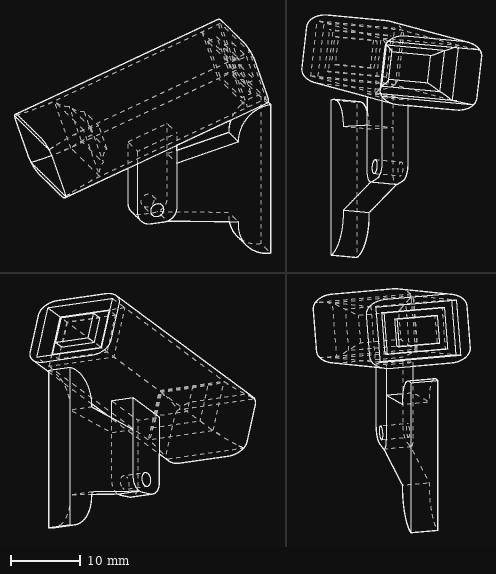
import cadquery as cq
import math

BRACKET_WIDTH = 4.0

TILT = math.degrees(math.atan2(1, 3))
TUBE_WIDTH = 15.0
TUBE_HEIGHT = TUBE_WIDTH * 2 / 3
TUBE_LENGTH = TUBE_WIDTH * 2.2
CORNER_ACROSS = TUBE_WIDTH / 5
CORNER_HIGH = TUBE_HEIGHT / 5
MOUTH_Y = -12.7
MOUTH_Z = 14.4
AXIS_HEIGHT = TUBE_HEIGHT / 2

STEP_ACROSS = TUBE_WIDTH / 10
STEP_HIGH = TUBE_HEIGHT / 10
STEP_DEPTH = STEP_ACROSS

HOOD_DEPTH = TUBE_WIDTH * 0.4
FLARE_MID_SHARE = 0.7
FLARE_END_SHARE = 0.995
DISH_BULGE = 0.12

ARM_DEPTH = 6.05
ARM_BOTTOM = 7.1
ARM_CORNER = 2.0
ARM_BLANK_HEIGHT = 18.2
PIN_DIAMETER = 2.0
PIN_HEIGHT = 2.0

BASE_BACK = 20.5
BASE_HEIGHT = 23.05
BASE_ROUND = 5.0
NECK_TOP_BACK = 17.95
NECK_TOP_FRONT = 15.95
NECK_BOTTOM_BACK = 5.53
NECK_TIP_Y = 4.6
NECK_TIP_Z = 7.15


def place(shape):
    """Move a shape from the housing frame to its tilted place."""
    return shape.rotate((0, 0, 0), (1, 0, 0), TILT).translate((0, MOUTH_Y, MOUTH_Z))


def section(depth, inset, sharpness):
    """Rectangle with elliptical corners across the tube, inset by a number of steps.

    A sharpness of 0 keeps the tube's full corners, 1 would make them sharp.
    """
    across = CORNER_ACROSS * (1 - sharpness)
    high = CORNER_HIGH * (1 - sharpness)
    half_width = TUBE_WIDTH / 2 - inset * STEP_ACROSS
    half_height = TUBE_HEIGHT / 2 - inset * STEP_HIGH
    flat_x = half_width - across
    flat_z = half_height - high

    def point(x, z):
        return cq.Vector(x, depth, AXIS_HEIGHT + z)

    def corner(start, side_x, side_z):
        return cq.Edge.makeEllipse(
            across, high, pnt=point(side_x * flat_x, side_z * flat_z),
            dir=cq.Vector(0, -1, 0), xdir=cq.Vector(1, 0, 0),
            angle1=start, angle2=start + 90)

    def line(start, end):
        return cq.Edge.makeLine(point(*start), point(*end))

    return cq.Wire.assembleEdges([
        corner(0, 1, 1),
        line((flat_x, half_height), (-flat_x, half_height)),
        corner(90, -1, 1),
        line((-half_width, flat_z), (-half_width, -flat_z)),
        corner(180, -1, -1),
        line((-flat_x, -half_height), (flat_x, -half_height)),
        corner(270, 1, -1),
        line((half_width, -flat_z), (half_width, flat_z)),
    ])


def block(inset, start, end, width=None):
    """Box between two depths, inset by a number of steps unless a width is given."""
    if width is None:
        width = TUBE_WIDTH - 2 * inset * STEP_ACROSS
    height = TUBE_HEIGHT - 2 * inset * STEP_HIGH
    return cq.Workplane("XY").box(width, end - start, height).translate((0, (start + end) / 2, AXIS_HEIGHT))


def make_hood_cavity():
    """Flare with bowed side walls between a flat floor and a flat roof."""
    flare = cq.Solid.makeLoft([
        section(0, 0, 0),
        section(HOOD_DEPTH / 2, FLARE_MID_SHARE, FLARE_MID_SHARE),
        section(HOOD_DEPTH, 1, FLARE_END_SHARE),
    ])
    slab = block(1, 0, HOOD_DEPTH, width=2 * TUBE_WIDTH)
    return cq.Workplane(flare).intersect(slab)


def make_tube():
    outer = cq.Solid.extrudeLinear(section(0, 0, 0), [], cq.Vector(0, TUBE_LENGTH, 0))
    bore = block(1, HOOD_DEPTH, TUBE_LENGTH)
    return place(cq.Workplane(outer).cut(make_hood_cavity()).cut(bore))


def dish_prism(plane, half_size, step):
    """Prism whose outline narrows by two bowed steps, symmetric about the tube axis."""
    depths = [HOOD_DEPTH + i * STEP_DEPTH for i in range(3)]
    halves = [half_size - (i + 1) * step for i in range(3)]

    def bow(i, side):
        x = halves[i] - step * (0.5 + DISH_BULGE)
        return side * x, depths[i] + STEP_DEPTH * (0.5 - DISH_BULGE)

    return (
        cq.Workplane(plane)
        .moveTo(halves[0], depths[0])
        .threePointArc(bow(0, 1), (halves[1], depths[1]))
        .threePointArc(bow(1, 1), (halves[2], depths[2]))
        .lineTo(-halves[2], depths[2])
        .threePointArc(bow(1, -1), (-halves[1], depths[1]))
        .threePointArc(bow(0, -1), (-halves[0], depths[0]))
        .close()
        .extrude(TUBE_WIDTH, both=True)
    )


def make_insert():
    """Camera block filling the bore, dished at the front and stepped at the rear."""
    body = block(1, HOOD_DEPTH, TUBE_LENGTH - 2 * STEP_DEPTH)
    for inset in (2, 3):
        end = TUBE_LENGTH - (3 - inset) * STEP_DEPTH
        body = body.union(block(inset, HOOD_DEPTH + 2 * STEP_DEPTH, end))
    upright_plane = cq.Plane(origin=(0, 0, AXIS_HEIGHT), xDir=(0, 0, 1), normal=(-1, 0, 0))
    across = dish_prism("XY", TUBE_WIDTH / 2, STEP_ACROSS)
    upright = dish_prism(upright_plane, TUBE_HEIGHT / 2, STEP_HIGH)
    return place(body.cut(across.intersect(upright)))


def side_plane():
    return cq.Workplane("YZ", origin=(-BRACKET_WIDTH / 2, 0, 0))


def make_arm():
    """Upright arm with a pin hole, trimmed along the underside of the housing."""
    arm = (
        cq.Workplane("XY")
        .box(BRACKET_WIDTH, ARM_DEPTH, ARM_BLANK_HEIGHT, centered=(True, False, False))
        .translate((0, 0, ARM_BOTTOM))
        .edges("<Z and |X")
        .fillet(ARM_CORNER)
    )
    hole = (
        side_plane()
        .center(ARM_DEPTH / 2, ARM_BOTTOM + PIN_HEIGHT)
        .circle(PIN_DIAMETER / 2)
        .extrude(BRACKET_WIDTH)
    )
    above_underside = place(
        cq.Workplane("XY").box(TUBE_WIDTH, TUBE_LENGTH, ARM_BLANK_HEIGHT, centered=(True, False, False)))
    return arm.cut(hole).cut(above_underside)


def make_base(arm):
    """Wall plate with rounded ends and a tapering neck that butts against the arm."""
    plate_front = BASE_BACK - BASE_ROUND
    diagonal = BASE_ROUND * math.sqrt(0.5)
    upper_center = BASE_HEIGHT - BASE_ROUND
    outline = (
        side_plane()
        .moveTo(BASE_BACK, 0)
        .threePointArc((BASE_BACK - diagonal, BASE_ROUND - diagonal), (plate_front, BASE_ROUND))
        .lineTo(plate_front, NECK_BOTTOM_BACK)
        .lineTo(NECK_TIP_Y, NECK_TIP_Z)
        .lineTo(ARM_DEPTH, ARM_BOTTOM + ARM_CORNER)
        .lineTo(ARM_DEPTH, NECK_TOP_FRONT)
        .lineTo(plate_front, NECK_TOP_BACK)
        .lineTo(plate_front, upper_center)
        .threePointArc((BASE_BACK - diagonal, upper_center + diagonal), (BASE_BACK, BASE_HEIGHT))
        .close()
    )
    return outline.extrude(BRACKET_WIDTH).cut(arm)


arm = make_arm()
housing = make_tube().union(arm)
insert = make_insert()
base = make_base(arm)

result = cq.Compound.makeCompound([housing.val(), insert.val(), base.val()])